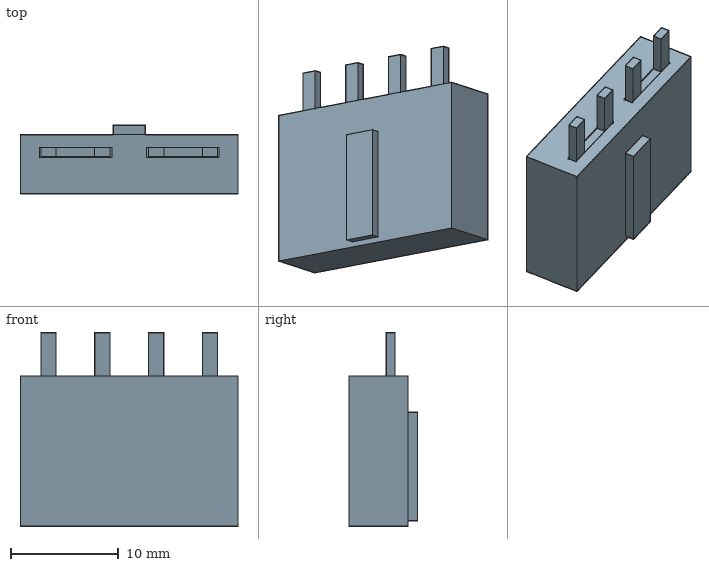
import cadquery as cq

HOUSING_LENGTH = 20.25
HOUSING_DEPTH = 5.5
HOUSING_HEIGHT = 14.0

KEY_WIDTH = 3.0
KEY_DEPTH = 0.87
KEY_BOTTOM = 0.5
KEY_HEIGHT = 10.1

PIN_PITCH = 5.0
PIN_WIDTH = 1.44
PIN_THICKNESS = 0.83
PIN_PROJECTION = 4.0
BRIDGE_HEIGHT = 1.45

SLOT_END_PLAY_OUTER = 0.1
SLOT_END_PLAY_INNER = 0.16
SLOT_FRONT_PLAY = 0.06
SLOT_BACK_Y = 4.3

SIDES = (-1, 1)

contact_length = PIN_PITCH + PIN_WIDTH
contact_bottom = HOUSING_HEIGHT - BRIDGE_HEIGHT
contact_front_y = SLOT_BACK_Y - PIN_THICKNESS
pin_height = HOUSING_HEIGHT + PIN_PROJECTION - contact_bottom


def box_at(x_center, y_front, z_bottom, length, depth, height):
    """Box centred on x_center, with its front and bottom faces at the given places."""
    corner = (x_center - length / 2, y_front, z_bottom)
    return cq.Workplane("XY").box(length, depth, height, centered=False).translate(corner)


def make_slot(side):
    """Cutter for one contact slot; it runs down to the seat of the contact."""
    length = contact_length + SLOT_END_PLAY_OUTER + SLOT_END_PLAY_INNER
    inward_shift = (SLOT_END_PLAY_INNER - SLOT_END_PLAY_OUTER) / 2
    return box_at(
        side * (PIN_PITCH - inward_shift),
        contact_front_y - SLOT_FRONT_PLAY,
        contact_bottom,
        length,
        PIN_THICKNESS + SLOT_FRONT_PLAY,
        HOUSING_HEIGHT - contact_bottom,
    )


def make_housing():
    """Block with a key rib on its back and one slot for each contact."""
    block = box_at(0, 0, 0, HOUSING_LENGTH, HOUSING_DEPTH, HOUSING_HEIGHT)
    key = box_at(0, HOUSING_DEPTH, KEY_BOTTOM, KEY_WIDTH, KEY_DEPTH, KEY_HEIGHT)
    body = block.union(key)
    for side in SIDES:
        body = body.cut(make_slot(side))
    return body


def make_contact(side):
    """U-shaped contact: a bridge with a pin rising from each end."""
    x_center = side * PIN_PITCH
    contact = box_at(
        x_center, contact_front_y, contact_bottom, contact_length, PIN_THICKNESS, BRIDGE_HEIGHT
    )
    for end in SIDES:
        pin_x = x_center + end * PIN_PITCH / 2
        pin = box_at(pin_x, contact_front_y, contact_bottom, PIN_WIDTH, PIN_THICKNESS, pin_height)
        contact = contact.union(pin)
    return contact


housing = make_housing()
contacts = [make_contact(side) for side in SIDES]

result = cq.Compound.makeCompound([housing.val(), *[contact.val() for contact in contacts]])